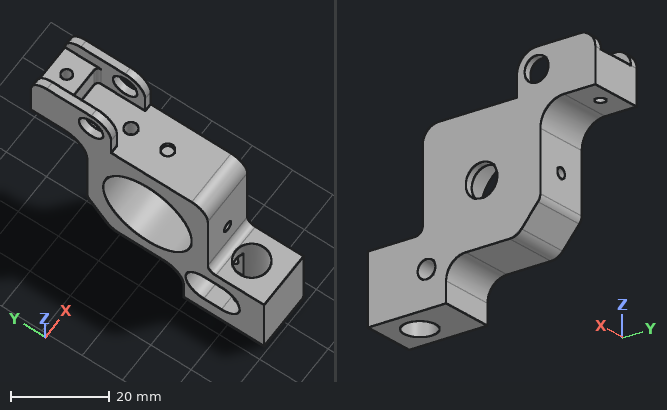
import cadquery as cq

THICKNESS = 14.0
NEAR_X = -THICKNESS / 2

BODY_HALF = 15.0
BODY_TOP = 16.0
BODY_CORNER_RADIUS = 4.0
BEVEL_Y = 9.0
BEVEL_Z = -8.0
BEVEL_SIDE_RADIUS = 2.5
BEVEL_BOTTOM_RADIUS = 4.0

BORE_DIAMETER = 22.0
BORE_DEPTH = 12.0
SHAFT_DIAMETER = 8.0

ARM_END_Y = 29.0
ARM_BOTTOM = 13.5
ARM_INNER_RADIUS = 6.0
EAR_TOP = 26.0
EAR_FRONT_Y = 9.0
EAR_FRONT_RADIUS = 5.0
EAR_BACK_RADIUS = 4.0
EAR_THICKNESS = 2.0
EAR_HOLE_DIAMETER = 6.0
BRIDGE_TOP = 22.0
BRIDGE_LENGTH = 8.0
BRIDGE_CORNER_RADIUS = 1.0
BRIDGE_HOLE_DIAMETER = 2.5

FOOT_END_Y = -29.0
FOOT_INNER_Y = -9.0
FOOT_TOP = -8.0
FOOT_BOTTOM = -25.0
FOOT_TOP_RADIUS = 2.0
FOOT_INNER_RADIUS = 5.0
ROD_DIAMETER = 8.0
ROD_Y = -20.985

SLOT_WIDTH = 9.0
SLOT_TRAVEL = 4.4
SLOT_Y = -14.0
SLOT_Z = -16.05
SLOT_DEPTH = 9.0
SLOT_HOLE_DIAMETER = 4.5

CROSS_HOLE_DIAMETER = 2.5
TOP_HOLE_DIAMETER = 3.0
DEEP_HOLE_Y = EAR_FRONT_Y
DEEP_HOLE_DEPTH = 5.0
SHALLOW_HOLE_X = 0.2
SHALLOW_HOLE_DEPTH = 1.0


def x_cylinder(diameter, depth, y, z):
    """Cylinder along +X that starts on the near side of the part."""
    return cq.Workplane("YZ", origin=(NEAR_X, y, z)).circle(diameter / 2).extrude(depth)


def z_cylinder(diameter, x, y, bottom, top):
    """Vertical cylinder between two heights."""
    return cq.Workplane("XY", origin=(x, y, bottom)).circle(diameter / 2).extrude(top - bottom)


def make_blank():
    """Full-thickness plate with the side profile and its rounded corners."""
    rounded_corners = [
        (ARM_END_Y, EAR_TOP, EAR_BACK_RADIUS),
        (EAR_FRONT_Y, EAR_TOP, EAR_FRONT_RADIUS),
        (-BODY_HALF, BODY_TOP, BODY_CORNER_RADIUS),
        (-BODY_HALF, FOOT_TOP, FOOT_TOP_RADIUS),
        (FOOT_INNER_Y, -BODY_HALF, FOOT_INNER_RADIUS),
        (BEVEL_Y, -BODY_HALF, BEVEL_BOTTOM_RADIUS),
        (BODY_HALF, BEVEL_Z, BEVEL_SIDE_RADIUS),
        (BODY_HALF, ARM_BOTTOM, ARM_INNER_RADIUS),
    ]
    profile = [
        (ARM_END_Y, EAR_TOP),
        (EAR_FRONT_Y, EAR_TOP),
        (EAR_FRONT_Y, BODY_TOP),
        (-BODY_HALF, BODY_TOP),
        (-BODY_HALF, FOOT_TOP),
        (FOOT_END_Y, FOOT_TOP),
        (FOOT_END_Y, FOOT_BOTTOM),
        (FOOT_INNER_Y, FOOT_BOTTOM),
        (FOOT_INNER_Y, -BODY_HALF),
        (BEVEL_Y, -BODY_HALF),
        (BODY_HALF, BEVEL_Z),
        (BODY_HALF, ARM_BOTTOM),
        (ARM_END_Y, ARM_BOTTOM),
    ]
    blank = cq.Workplane("YZ", origin=(NEAR_X, 0, 0)).polyline(profile).close().extrude(THICKNESS)
    for y, z, radius in rounded_corners:
        corner_edge = cq.selectors.NearestToPointSelector((0, y, z))
        blank = blank.edges("|X").edges(corner_edge).fillet(radius)
    return blank


def make_ear_gap():
    """Space between the ears, stepping up onto the bridge that joins them."""
    gap_width = THICKNESS - 2 * EAR_THICKNESS
    bridge_front_y = ARM_END_Y - BRIDGE_LENGTH
    pocket = (
        cq.Workplane("XY", origin=(0, 0, BODY_TOP))
        .rect(gap_width, 2 * bridge_front_y)
        .extrude(EAR_TOP - BODY_TOP)
        .edges("|Z and >Y")
        .fillet(BRIDGE_CORNER_RADIUS)
    )
    above_bridge = (
        cq.Workplane("XY", origin=(0, 0, BRIDGE_TOP))
        .rect(gap_width, 2 * ARM_END_Y)
        .extrude(EAR_TOP - BRIDGE_TOP)
    )
    return pocket.union(above_bridge)


def cut_arm_holes(part):
    """Pivot hole through both ears and the vertical hole through the bridge."""
    pivot_y = EAR_FRONT_Y + EAR_FRONT_RADIUS
    pivot_z = EAR_TOP - EAR_FRONT_RADIUS
    bridge_hole_y = ARM_END_Y - BRIDGE_LENGTH / 2
    part = part.cut(x_cylinder(EAR_HOLE_DIAMETER, THICKNESS, pivot_y, pivot_z))
    return part.cut(z_cylinder(BRIDGE_HOLE_DIAMETER, 0, bridge_hole_y, ARM_BOTTOM, BRIDGE_TOP))


def cut_body_holes(part):
    """Stepped bore, cross hole along Y and the two blind holes in the top face."""
    cross_hole = (
        cq.Workplane("XZ").circle(CROSS_HOLE_DIAMETER / 2).extrude(BODY_HALF, both=True)
    )
    deep_bottom = BODY_TOP - DEEP_HOLE_DEPTH
    shallow_bottom = BODY_TOP - SHALLOW_HOLE_DEPTH
    part = part.cut(x_cylinder(BORE_DIAMETER, BORE_DEPTH, 0, 0))
    part = part.cut(x_cylinder(SHAFT_DIAMETER, THICKNESS, 0, 0))
    part = part.cut(cross_hole)
    part = part.cut(z_cylinder(TOP_HOLE_DIAMETER, 0, DEEP_HOLE_Y, deep_bottom, BODY_TOP))
    return part.cut(z_cylinder(TOP_HOLE_DIAMETER, SHALLOW_HOLE_X, 0, shallow_bottom, BODY_TOP))


def cut_foot_holes(part):
    """Vertical rod hole, side slot and the screw hole through the slot floor."""
    slot = (
        cq.Workplane("YZ", origin=(NEAR_X, SLOT_Y - SLOT_TRAVEL / 2, SLOT_Z))
        .slot2D(SLOT_WIDTH + SLOT_TRAVEL, SLOT_WIDTH)
        .extrude(SLOT_DEPTH)
    )
    part = part.cut(slot)
    part = part.cut(x_cylinder(SLOT_HOLE_DIAMETER, THICKNESS, SLOT_Y, SLOT_Z))
    return part.cut(z_cylinder(ROD_DIAMETER, 0, ROD_Y, FOOT_BOTTOM, FOOT_TOP))


part = make_blank().cut(make_ear_gap())
part = cut_arm_holes(part)
part = cut_body_holes(part)
result = cut_foot_holes(part)